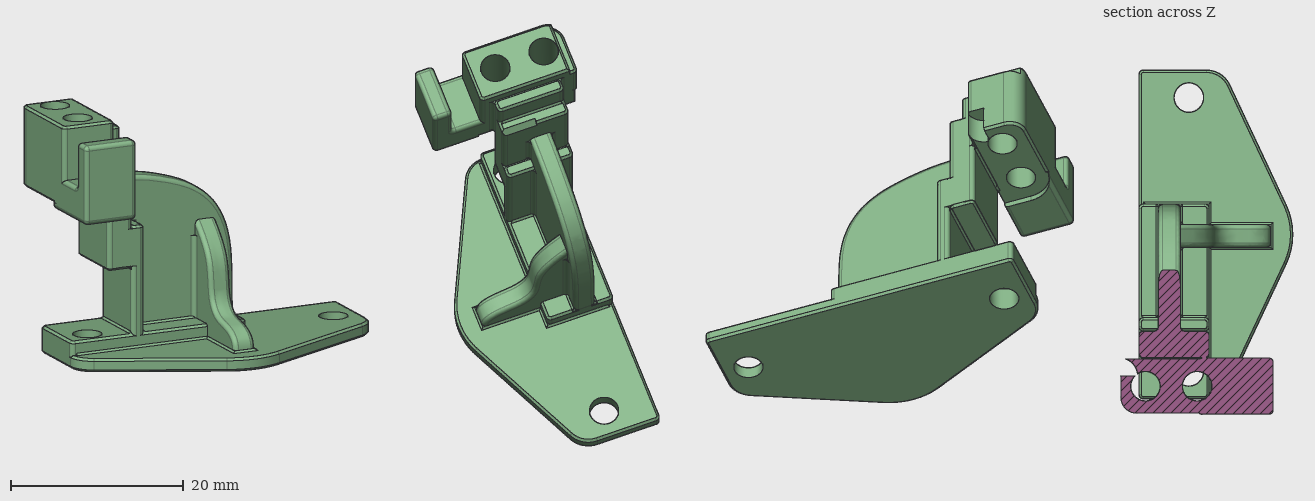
import cadquery as cq
import math

edge_chamfer = 0.28
foot_flare = 0.25
edge_round = 0.5
rim_round = 0.48
hole_dia = 3.4
pick_margin = 0.4

base_length = 38.05
plate_thickness = 1.6
block_width = 8.13
block_length = 22.55
block_height = 3.25
base_hole_x = 5.78
base_hole_inset = 3.2
end_arc_x = 7.8
end_arc_radius = 3.0
bulge_radius = 7.95
bulge_reach = 17.8

wall = 1.55
column_back = 9.4
low_step_top = 16.18
overhang_bottom = 11.15
mid_step_top = 25.2
column_top = 28.45
column_root = 1.0
bevel_start_x = 4.0
wide_bevel = 0.65

long_rib_x = 2.25
long_rib_width = 2.6
long_rib_top = 21.35
cross_rib_y = 17.53
cross_rib_width = 2.63
cross_rib_end = 15.25

head_left = -2.25
head_right = 15.55
head_depth = 6.55
head_bottom = 19.95
head_top = 29.65
ledge_width = 0.95
ledge_drop = 0.95
arm_drop = 0.7
arm_start = 6.85
slot_left = 9.72
slot_right = 13.25
slot_floor = 23.23
head_corner_round = 2.0
head_hole_x = 0.75
head_hole_spacing = 5.98
screw_clearance_radius = 3.25
relief_y = 2.65
relief_top = 23.43

column_front = column_back - 3 * wall
head_front = column_front - head_depth
head_hole_y = (head_front + column_front) / 2
right_hole_x = head_hole_x + head_hole_spacing


def box(x0, x1, y0, y1, z0, z1):
    return cq.Workplane("XY").box(x1 - x0, y1 - y0, z1 - z0, centered=False).translate((x0, y0, z0))


def cylinder(x, y, radius, z0, z1):
    return cq.Workplane("XY", origin=(x, y, z0)).circle(radius).extrude(z1 - z0)


def flared_foot(x0, x1, y0, y1, z):
    """Low frustum with 45 degree sides whose bottom rectangle lies at height z."""
    plan = cq.Workplane("XY", origin=((x0 + x1) / 2, (y0 + y1) / 2, z)).rect(x1 - x0, y1 - y0)
    return plan.extrude(foot_flare, taper=45)


def flare_below(y, z):
    """Sloped strip across the column, in the corner under a face at height z and in front of a wall at y."""
    corner = cq.Workplane("YZ", origin=(edge_chamfer, 0, 0))
    corner = corner.moveTo(y, z).lineTo(y - foot_flare, z).lineTo(y, z - foot_flare).close()
    return corner.extrude(block_width - 2 * edge_chamfer)


def inner_corner(x, y, x_side, y_side, z0, z1):
    """Upright concave rounding in the corner at (x, y); the sides (+1 or -1) tell where it spreads."""
    x_far = x + x_side * edge_round
    y_far = y + y_side * edge_round
    filler = box(min(x, x_far), max(x, x_far), min(y, y_far), max(y, y_far), z0, z1)
    return filler.cut(cylinder(x_far, y_far, edge_round, z0, z1))


def make_plate():
    middle_y = base_length / 2
    bulge_x = bulge_reach - bulge_radius
    back_y = base_length - end_arc_radius
    dx = bulge_x - end_arc_x
    dy = back_y - middle_y
    tilt = math.atan2(dx, dy) + math.asin((bulge_radius - end_arc_radius) / math.hypot(dx, dy))

    def arc_point(cx, cy, radius, angle):
        return (cx + radius * math.cos(angle), cy + radius * math.sin(angle))

    def mirrored(point):
        return (point[0], base_length - point[1])

    half_way = (tilt + math.pi / 2) / 2
    end_mid = arc_point(end_arc_x, back_y, end_arc_radius, half_way)
    end_tangent = arc_point(end_arc_x, back_y, end_arc_radius, tilt)
    bulge_tangent = arc_point(bulge_x, middle_y, bulge_radius, tilt)
    outline = (
        cq.Workplane("XY")
        .lineTo(end_arc_x, 0)
        .threePointArc(mirrored(end_mid), mirrored(end_tangent))
        .lineTo(*mirrored(bulge_tangent))
        .threePointArc((bulge_reach, middle_y), bulge_tangent)
        .lineTo(*end_tangent)
        .threePointArc(end_mid, (end_arc_x, base_length))
        .lineTo(0, base_length)
        .close()
    )
    plate = outline.extrude(plate_thickness)
    plate = plate.edges("|Z and <X").fillet(edge_round)
    return plate.faces("<Z or >Z").edges().chamfer(edge_chamfer)


def make_block():
    block = box(0, block_width, 0, block_length, 0, block_height)
    block = block.edges("|Z").fillet(edge_round)
    block = block.faces("<Z or >Z").edges().chamfer(edge_chamfer)
    return block.union(
        flared_foot(edge_round, block_width + foot_flare, edge_round, block_length + foot_flare,
                    plate_thickness)
    )


def make_column():
    def step(y0, y1, z0, z1):
        return box(0, block_width, y0, y1, z0, z1).edges("|Z").fillet(edge_round)

    y_mid = column_front + wall
    y_low = column_front + 2 * wall
    low = step(y_low, column_back, column_root, low_step_top).faces(">Z").edges().chamfer(edge_chamfer)
    middle = step(column_front, y_low, overhang_bottom, mid_step_top)
    middle = middle.faces(">Z or <Z").edges().chamfer(edge_chamfer)
    joint = box(0, block_width, y_low - edge_round, y_low + edge_round, overhang_bottom + foot_flare,
                low_step_top - edge_chamfer)
    high = step(column_front, y_mid, overhang_bottom + foot_flare, column_top)
    high = high.faces(">Z").edges().chamfer(edge_chamfer)
    bevel = (
        cq.Workplane("YZ", origin=(bevel_start_x, 0, 0))
        .moveTo(y_low, mid_step_top)
        .lineTo(y_low - wide_bevel, mid_step_top)
        .lineTo(y_low, mid_step_top - wide_bevel)
        .close()
        .extrude(block_width - bevel_start_x)
    )
    column = low.union(middle).union(joint).cut(bevel).union(high)
    column = column.union(
        flared_foot(edge_chamfer, block_width - edge_chamfer, column_front + edge_round,
                    y_mid + foot_flare, mid_step_top)
    )
    column = column.union(flare_below(y_low, overhang_bottom)).union(flare_below(column_front, head_bottom))
    for x, side in ((0, -1), (block_width, 1)):
        x_inside = x - side * edge_round
        z0 = head_bottom + edge_chamfer
        z1 = column_top - edge_chamfer
        filler = box(min(x, x_inside), max(x, x_inside), column_front, column_front + edge_round, z0, z1)
        column = column.union(filler).union(inner_corner(x, column_front, side, 1, z0, z1))
    return column.union(
        flared_foot(edge_chamfer, block_width - edge_chamfer, y_low - foot_flare,
                    column_back + foot_flare, block_height)
    )


def make_long_rib():
    y_end = column_back - wall
    crest = [(22.43, 9.55), (21.55, 14.35), (19.92, 17.15), (17.37, 19.12), (14.3, 20.3), (11.05, 21.08)]
    profile = (
        cq.Workplane("YZ", origin=(long_rib_x, 0, 0))
        .moveTo(y_end, plate_thickness)
        .lineTo(block_length, plate_thickness)
        .lineTo(block_length, block_height)
        .spline(crest + [(y_end, long_rib_top)], includeCurrent=True)
        .close()
    )
    rib = profile.extrude(long_rib_width)
    rib_right = long_rib_x + long_rib_width
    crest_edges = cq.selectors.BoxSelector(
        (long_rib_x - pick_margin, y_end + pick_margin, block_height + pick_margin),
        (rib_right + pick_margin, block_length + pick_margin, long_rib_top))
    rib = rib.edges(crest_edges).fillet(edge_round)
    rib = rib.union(
        flared_foot(long_rib_x - foot_flare, rib_right + foot_flare, column_back, block_length, block_height)
    )
    for x, side in ((long_rib_x, -1), (rib_right, 1)):
        rib = rib.union(inner_corner(x, column_back, side, 1, block_height, low_step_top - edge_chamfer))
        rib = rib.union(inner_corner(x, y_end, side, 1, low_step_top, long_rib_top - edge_round))
    return rib


def make_cross_rib():
    start_x = long_rib_x + long_rib_width / 2
    crest = [(6.77, 13.15), (8.2, 10.9), (8.72, 8.3), (9.32, 5.9), (10.25, 4.98), (12.5, 4.3),
             (14.42, 3.45)]
    crest_height = 15.95
    profile = (
        cq.Workplane("XZ", origin=(0, cross_rib_y + cross_rib_width, 0))
        .moveTo(start_x, plate_thickness)
        .lineTo(start_x, crest_height)
        .spline(crest + [(cross_rib_end, plate_thickness)], includeCurrent=True)
        .close()
    )
    rib = profile.extrude(cross_rib_width)
    crest_edges = cq.selectors.BoxSelector(
        (start_x + pick_margin, cross_rib_y - pick_margin, plate_thickness + pick_margin),
        (cross_rib_end + pick_margin, cross_rib_y + cross_rib_width + pick_margin, crest_height))
    rib = rib.edges(crest_edges).fillet(edge_round)
    y0 = cross_rib_y - foot_flare
    y1 = cross_rib_y + cross_rib_width + foot_flare
    rib_side = long_rib_x + long_rib_width
    corner_top = crest[0][1]
    rib = rib.union(inner_corner(rib_side, cross_rib_y, 1, -1, block_height, corner_top))
    rib = rib.union(inner_corner(rib_side, cross_rib_y + cross_rib_width, 1, 1, block_height, corner_top))
    return rib.union(flared_foot(start_x, cross_rib_end + foot_flare, y0, y1, plate_thickness))


def make_head_body():
    ledge_z = head_top - ledge_drop
    raised_left = head_left + ledge_width
    body = box(head_left, slot_left, head_front, column_front, head_bottom, head_top)
    body = body.edges("|Z and <X and <Y").fillet(head_corner_round)
    body = body.edges("|Z").edges("<X or >X").edges(">Y").fillet(edge_round)
    body = body.edges("|Z and >X and <Y").fillet(edge_round)
    body = body.cut(box(head_left, raised_left, head_front, column_front, ledge_z, head_top))
    body = body.faces("<Z or >Z").edges().chamfer(edge_chamfer)
    ledge_rim = cq.selectors.BoxSelector(
        (head_left - pick_margin, head_front - pick_margin, ledge_z - edge_chamfer / 2),
        (raised_left - edge_chamfer, column_front + pick_margin, ledge_z + edge_chamfer / 2))
    body = body.edges(ledge_rim).edges("not |Z").chamfer(edge_chamfer)
    relief_radius = column_front - relief_y
    relief = cylinder(head_left, relief_y, relief_radius, head_bottom, relief_top)
    behind_relief_wall = box(head_left - relief_radius, 0, relief_y, column_front, head_bottom, relief_top)
    return body.cut(relief.intersect(behind_relief_wall))


def make_hook_arm():
    hook_top = head_top - ledge_drop
    arm_bottom = head_bottom - arm_drop
    profile = (
        cq.Workplane("XZ", origin=(0, column_front, 0))
        .moveTo(arm_start, slot_floor)
        .lineTo(slot_right, slot_floor)
        .lineTo(slot_right, hook_top)
        .lineTo(head_right, hook_top)
        .lineTo(head_right, arm_bottom)
        .lineTo(arm_start, arm_bottom)
        .close()
    )
    arm = profile.extrude(head_depth).edges("|Y").fillet(edge_round)
    arm = arm.faces("<Y or >Y").edges().fillet(rim_round)
    clearance = cylinder(right_hole_x, head_hole_y, screw_clearance_radius, arm_bottom, head_bottom)
    x0 = right_hole_x - screw_clearance_radius
    x1 = right_hole_x + screw_clearance_radius
    clearance = clearance.union(box(x0, x1, head_hole_y, column_front, arm_bottom, head_bottom))
    return arm.cut(clearance)


result = make_plate()
for make_body in (make_block, make_column, make_long_rib, make_cross_rib, make_head_body, make_hook_arm):
    result = result.union(make_body())

for hole_y in (base_hole_inset, base_length - base_hole_inset):
    result = result.cut(cylinder(base_hole_x, hole_y, hole_dia / 2, 0, block_height))
for hole_x in (head_hole_x, right_hole_x):
    result = result.cut(cylinder(hole_x, head_hole_y, hole_dia / 2, head_bottom, head_top))